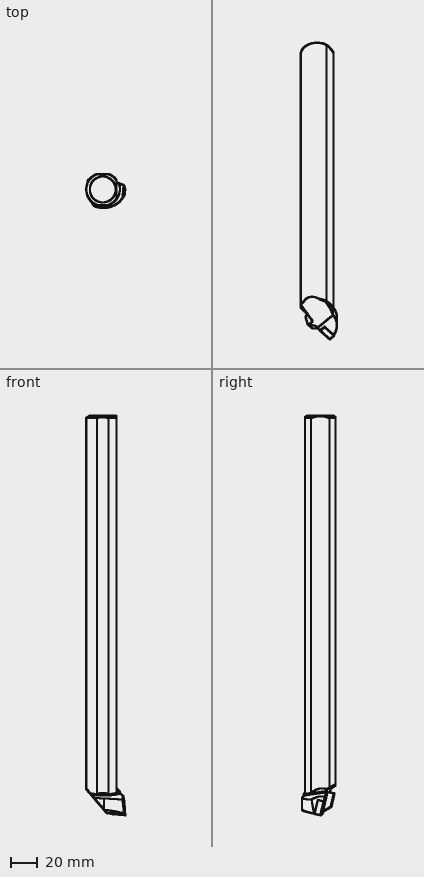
import cadquery as cq
import math

LENGTH = 301.2
OVERALL_WIDTH = 29.5
OVERALL_DEPTH = 25.5
SHANK_DIAMETER = 25.0
SHANK_RADIUS = SHANK_DIAMETER / 2
SIDE_FLAT_WIDTH = 9.0
SIDE_FLAT = math.sqrt(SHANK_RADIUS**2 - (SIDE_FLAT_WIDTH / 2) ** 2)
SHANK_WIDTH = 23.0
EDGE_FLAT = SHANK_WIDTH - SHANK_RADIUS
SHANK_BOTTOM = 15.0
END_CHAMFER_HEIGHT = 1.8
END_CHAMFER_WIDTH = 2.7

HEAD_RADIUS = OVERALL_DEPTH - SIDE_FLAT
HEAD_TOP = 24.0
LOBE_RADIUS = 17.0
LOBE_X = 1.0
LOBE_Y = LOBE_RADIUS - HEAD_RADIUS

COLLAR_RADIUS = 13.0
FLARE_TOP = 20.2
COLLAR_HEIGHT = 1.0
SHOULDER_RADIUS = 19.5
SHOULDER_TILT = 8.0

BEVEL_TOP = 20.0
BEVEL_FOOT_X = 4.5
BEVEL_OVERRUN = 3.0

TIP_X = OVERALL_WIDTH - SHANK_RADIUS
RAKE_NORMAL = (0.12, 1.0, -0.23)
RELIEF_NORMAL = (0.12, 1.0, -0.16)
RAKE_ALONG = (1.0, -0.12, 0.0)

INSERT_EDGE = 10.8
INSERT_THICKNESS = 4.5
INSERT_CORNER = 80.0
CLEARANCE = 0.45

GULLET_LENGTH = 20.5
GULLET_HEIGHT = 24.0

CLAMP_RIGHT = 12.0
CLAMP_WIDTH = 6.0
CLAMP_FRONT = 3.0
CLAMP_ROOT = 0.5
CLAMP_BACK = 18.0
CLAMP_HEIGHT = 4.8

MARGIN = 60.2

edge_angle = math.radians((90 - INSERT_CORNER) / 2)
edge_cos = math.cos(edge_angle)
edge_sin = math.sin(edge_angle)

rake_plane = cq.Plane(origin=(TIP_X, 0, 0), xDir=RAKE_ALONG, normal=RAKE_NORMAL)
relief_plane = cq.Plane(origin=(TIP_X, 0, 0), xDir=RAKE_ALONG, normal=RELIEF_NORMAL)


def rhombus_points(edge):
    """Corners of the insert shape, starting at the cutting tip."""
    return [
        (0, 0),
        (-edge * edge_cos, -edge * edge_sin),
        (-edge * (edge_cos + edge_sin), -edge * (edge_cos + edge_sin)),
        (-edge * edge_sin, -edge * edge_cos),
    ]


def make_insert():
    prism = cq.Workplane(rake_plane).polyline(rhombus_points(INSERT_EDGE)).close()
    return prism.extrude(-INSERT_THICKNESS)


def make_shank():
    bar_length = LENGTH - SHANK_BOTTOM
    inner_radius = SHANK_RADIUS - END_CHAMFER_WIDTH
    profile = [
        (0, SHANK_BOTTOM),
        (SHANK_RADIUS, SHANK_BOTTOM),
        (SHANK_RADIUS, LENGTH - END_CHAMFER_HEIGHT),
        (inner_radius, LENGTH),
        (0, LENGTH),
    ]
    bar = cq.Workplane("XZ").polyline(profile).close().revolve(360, (0, 0), (0, 1))
    flats = cq.Workplane("XY", origin=(0, 0, SHANK_BOTTOM)).box(
        SHANK_RADIUS + EDGE_FLAT, 2 * SIDE_FLAT, bar_length, centered=(False, True, False)
    )
    return bar.intersect(flats.translate((-SHANK_RADIUS, 0, 0)))


def make_shoulder():
    """Tilted body of revolution that shapes the top of the head."""
    collar_top = FLARE_TOP - (COLLAR_RADIUS - EDGE_FLAT)
    collar_bottom = collar_top - COLLAR_HEIGHT
    profile = [
        (0, -MARGIN),
        (SHOULDER_RADIUS, -MARGIN),
        (SHOULDER_RADIUS, collar_bottom - (SHOULDER_RADIUS - COLLAR_RADIUS)),
        (COLLAR_RADIUS, collar_bottom),
        (COLLAR_RADIUS, collar_top),
        (EDGE_FLAT, FLARE_TOP),
        (0, FLARE_TOP),
    ]
    shoulder = cq.Workplane("XZ").polyline(profile).close().revolve(360, (0, 0), (0, 1))
    return shoulder.rotate((0, 0, FLARE_TOP), (1, 0, FLARE_TOP), SHOULDER_TILT)


def make_head():
    lobe = cq.Workplane("XY").center(LOBE_X, LOBE_Y).circle(LOBE_RADIUS).extrude(HEAD_TOP)
    cutting_side = cq.Workplane("XY", origin=(LOBE_X, 0, 0)).box(
        MARGIN, MARGIN, HEAD_TOP, centered=(False, True, False)
    )
    outline = cq.Workplane("XY").circle(HEAD_RADIUS).extrude(HEAD_TOP)
    outline = outline.union(lobe.intersect(cutting_side))
    return outline.intersect(make_shoulder())


def make_bevel_cut():
    slope = BEVEL_TOP / (BEVEL_FOOT_X + SHANK_RADIUS)
    outer_x = -SHANK_RADIUS - BEVEL_OVERRUN
    corners = [(BEVEL_FOOT_X, 0), (outer_x, BEVEL_TOP + slope * BEVEL_OVERRUN), (outer_x, 0)]
    return cq.Workplane("XZ").polyline(corners).close().extrude(MARGIN, both=True)


def make_flank_cut():
    """Removes the head below and beyond lines parallel to the two cutting edges."""
    plane = cq.Workplane(relief_plane)
    corner = -CLEARANCE
    below = [
        (corner + MARGIN * edge_cos, corner + MARGIN * edge_sin),
        (corner - MARGIN * edge_cos, corner - MARGIN * edge_sin),
        (corner - MARGIN, MARGIN),
        (corner + MARGIN, MARGIN),
    ]
    beyond = [
        (corner, corner),
        (corner - HEAD_TOP * edge_sin, corner - HEAD_TOP * edge_cos),
        (MARGIN, corner - HEAD_TOP * edge_cos),
        (MARGIN, MARGIN),
        (corner, MARGIN),
    ]
    cut_below = plane.polyline(below).close().extrude(MARGIN, both=True)
    cut_beyond = plane.polyline(beyond).close().extrude(MARGIN, both=True)
    return cut_below.union(cut_beyond)


up_the_head = rake_plane.yDir * -1
side_plane = cq.Plane(origin=(TIP_X, 0, 0), xDir=up_the_head, normal=rake_plane.xDir * -1)


def make_gullet():
    corners = [
        (-MARGIN, 0),
        (GULLET_LENGTH, 0),
        (GULLET_LENGTH + GULLET_HEIGHT, GULLET_HEIGHT),
        (-MARGIN, GULLET_HEIGHT),
    ]
    return cq.Workplane(side_plane).polyline(corners).close().extrude(MARGIN, both=True)


def make_clamp():
    corners = [
        (CLAMP_FRONT, -CLAMP_ROOT),
        (CLAMP_FRONT, 0),
        (CLAMP_FRONT + CLAMP_HEIGHT, CLAMP_HEIGHT),
        (CLAMP_BACK, CLAMP_HEIGHT),
        (CLAMP_BACK, -CLAMP_ROOT),
    ]
    start = cq.Workplane(side_plane).workplane(offset=CLAMP_RIGHT)
    return start.polyline(corners).close().extrude(CLAMP_WIDTH)


def make_holder(insert):
    holder = make_shank().union(make_head())
    holder = holder.cut(make_gullet())
    holder = holder.union(make_clamp())
    holder = holder.cut(make_bevel_cut())
    holder = holder.cut(make_flank_cut())
    return holder.cut(insert)


insert = make_insert()
holder = make_holder(insert)
result = cq.Compound.makeCompound([holder.val(), insert.val()])